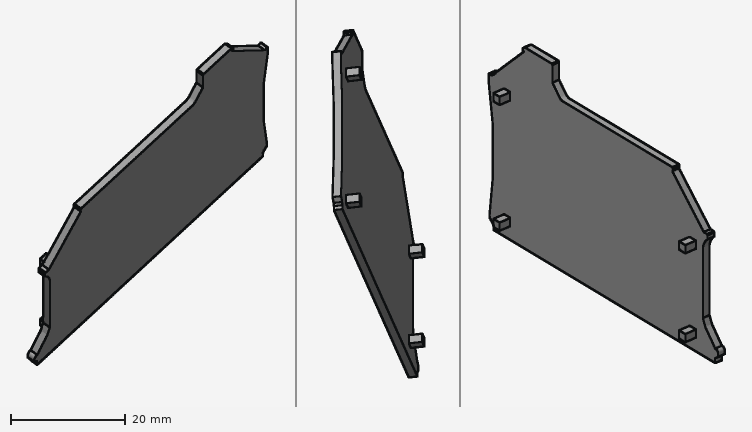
import cadquery as cq

LENGTH = 61.95
HEIGHT = 40.95
PLATE_THICKNESS = 1.55

PEG_SIDE = 1.7
PEG_LENGTH = 2.4
REAR_PEG_INSET = 5.0
FRONT_PEG_INSET = 6.9
LOW_PEG_Z = 3.65
REAR_HIGH_PEG_Z = 29.25
FRONT_HIGH_PEG_Z = 21.75

REAR_Y = LENGTH / 2
FRONT_Y = -LENGTH / 2
REAR_WAIST_Y = REAR_Y - 1.1
FRONT_WAIST_Y = FRONT_Y + 4.15
FOOT_REAR_Y = REAR_Y - 1.3
FOOT_FRONT_Y = FRONT_Y + 0.8
TOWER_REAR_Y = REAR_Y - 9.65
TOWER_FRONT_Y = REAR_Y - 17.2
SHELF_FRONT_Y = FRONT_Y + 12.2
SHELF_Z = 34.6
REAR_SHOULDER_Z = 31.35
FRONT_SHOULDER_Z = 25.3
FRONT_LIP_Y = FRONT_Y + 2.85
CORNER_BREAK = 0.2


def make_plate():
    """Flat plate whose outline lies in the YZ plane."""
    outline = (
        cq.Workplane("YZ")
        .moveTo(FOOT_REAR_Y, 0)
        .lineTo(FOOT_REAR_Y, 0.8)
        .lineTo(REAR_Y - 1.05, 1.3)
        .lineTo(REAR_Y - 0.25, 2.05)
        .lineTo(REAR_Y - 0.25, 2.65)
        .lineTo(REAR_WAIST_Y, 10.5)
        .lineTo(REAR_WAIST_Y, 21.3)
        .lineTo(REAR_Y, 29.6)
        .lineTo(REAR_Y, REAR_SHOULDER_Z - CORNER_BREAK)
        .lineTo(REAR_Y - CORNER_BREAK, REAR_SHOULDER_Z)
        .lineTo(REAR_Y - 0.85, REAR_SHOULDER_Z - 0.1)
        .lineTo(TOWER_REAR_Y + 0.3, HEIGHT - 1.1)
        .lineTo(TOWER_REAR_Y + 0.55, HEIGHT - 0.8)
        .lineTo(TOWER_REAR_Y + 0.55, HEIGHT - 0.55)
        .lineTo(TOWER_REAR_Y, HEIGHT)
        .lineTo(TOWER_FRONT_Y + CORNER_BREAK, HEIGHT)
        .lineTo(TOWER_FRONT_Y, HEIGHT - CORNER_BREAK)
        .lineTo(TOWER_FRONT_Y, SHELF_Z + 2.55)
        .lineTo(TOWER_FRONT_Y - 2.0, SHELF_Z + 0.4)
        .threePointArc((TOWER_FRONT_Y - 2.35, SHELF_Z + 0.1), (TOWER_FRONT_Y - 2.7, SHELF_Z))
        .lineTo(SHELF_FRONT_Y + CORNER_BREAK, SHELF_Z)
        .lineTo(SHELF_FRONT_Y, SHELF_Z - CORNER_BREAK)
        .lineTo(SHELF_FRONT_Y, SHELF_Z - 0.5)
        .lineTo(SHELF_FRONT_Y + 0.2, SHELF_Z - 0.8)
        .lineTo(FRONT_LIP_Y + 1.05, FRONT_SHOULDER_Z)
        .lineTo(FRONT_LIP_Y + CORNER_BREAK, FRONT_SHOULDER_Z)
        .lineTo(FRONT_LIP_Y, FRONT_SHOULDER_Z - CORNER_BREAK)
        .lineTo(FRONT_LIP_Y, 24.3)
        .threePointArc((FRONT_WAIST_Y - 0.45, 23.15), (FRONT_WAIST_Y, 21.85))
        .lineTo(FRONT_WAIST_Y, 7.7)
        .lineTo(FRONT_WAIST_Y - 0.7, 6.15)
        .lineTo(FOOT_FRONT_Y, 3.0)
        .threePointArc((FRONT_Y + 0.25, 2.8), (FRONT_Y, 2.3))
        .lineTo(FRONT_Y, 1.7)
        .lineTo(FOOT_FRONT_Y, 1.0)
        .lineTo(FOOT_FRONT_Y, 0)
        .close()
    )
    return outline.extrude(PLATE_THICKNESS)


def make_pegs():
    """Four square pegs standing out from the -X face of the plate."""
    rear_peg_y = REAR_Y - REAR_PEG_INSET
    front_peg_y = FRONT_Y + FRONT_PEG_INSET
    centres = [
        (rear_peg_y, LOW_PEG_Z),
        (rear_peg_y, REAR_HIGH_PEG_Z),
        (front_peg_y, LOW_PEG_Z),
        (front_peg_y, FRONT_HIGH_PEG_Z),
    ]
    return (
        cq.Workplane("YZ")
        .pushPoints(centres)
        .rect(PEG_SIDE, PEG_SIDE)
        .extrude(-PEG_LENGTH)
    )


result = make_plate().union(make_pegs())